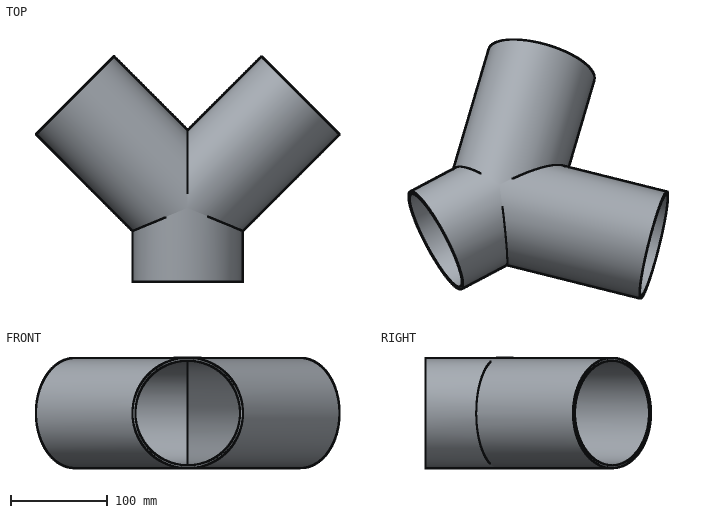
import cadquery as cq
import math

outer_diameter = 114.3
bore_diameter = 108.2
stem_length = 76.2
branch_length = 165.1
branch_angle = 45.0

tilt = math.radians(branch_angle)
junction = cq.Vector(0, 0, 0)
stem_direction = (0, -1, 0)
right_branch_direction = (math.sin(tilt), math.cos(tilt), 0)
left_branch_direction = (-math.sin(tilt), math.cos(tilt), 0)

legs = [
    (stem_length, stem_direction),
    (branch_length, right_branch_direction),
    (branch_length, left_branch_direction),
]


def three_legged_solid(diameter):
    """Join solid cylinders running from the junction to each open end."""
    body = cq.Workplane("XY")
    for length, direction in legs:
        axis = cq.Vector(*direction)
        body = body.union(cq.Workplane(cq.Solid.makeCylinder(diameter / 2, length, junction, axis)))
    return body


result = three_legged_solid(outer_diameter).cut(three_legged_solid(bore_diameter))